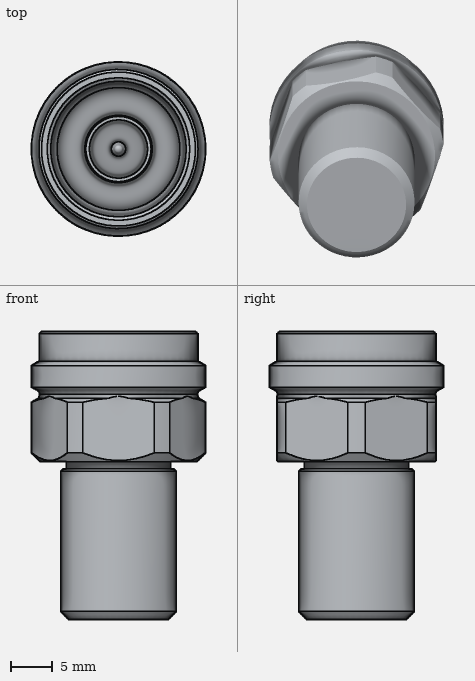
import cadquery as cq
import math

total_height = 34.4
sleeve_top = 18.0
nut_bottom = 18.85
nut_top_corner = 25.95
nut_shoulder_height = 26.42
groove_bottom = 26.85
groove_top = 27.38
collar_bottom = 27.73
collar_top = 30.3
collar_shoulder = 30.85
socket_floor = 28.7
seat_height = 29.48
inner_tube_top = 33.2
pin_shoulder = 30.27
pin_dome_base = 32.55
pin_top = 32.9

collar_diameter = 20.8
collar_radius = collar_diameter / 2
hex_apothem = 9.5
rim_radius = 9.5
rim_chamfer_radius = 9.2
nut_bottom_radius = 9.35
nut_shoulder_radius = 9.55
groove_radius = 9.43
groove_middle_radius = 9.5
groove_top_radius = 9.75
neck_radius = 6.25
sleeve_radius = 6.9
mouth_radius = 8.5
bore_radius = 8.1
seat_radius = 7.33
tube_radius = 4.02
tube_bore_radius = 3.47
pin_radius = 0.85
pin_tip_radius = 0.45

sleeve_bottom_chamfer = 1.0
sleeve_top_chamfer = 0.3
rim_chamfer = rim_radius - rim_chamfer_radius
tube_chamfer = 0.15
nut_bottom_chamfer = collar_radius - nut_bottom_radius


def revolve_profile(profile):
    """Revolve a closed profile, drawn as (radius, height), about the Z axis."""
    return profile.close().revolve(360, (0, 0, 0), (0, 1, 0))


def make_turned_body():
    """Solid of revolution: sleeve, neck, nut band, groove, collar and rim."""
    return revolve_profile(
        cq.Workplane("XZ")
        .moveTo(0, 0)
        .lineTo(sleeve_radius - sleeve_bottom_chamfer, 0)
        .lineTo(sleeve_radius, sleeve_bottom_chamfer)
        .lineTo(sleeve_radius, sleeve_top - sleeve_top_chamfer)
        .lineTo(sleeve_radius - sleeve_top_chamfer, sleeve_top)
        .lineTo(neck_radius, sleeve_top)
        .lineTo(neck_radius, nut_bottom)
        .lineTo(nut_bottom_radius, nut_bottom)
        .lineTo(collar_radius, nut_bottom + nut_bottom_chamfer)
        .lineTo(collar_radius, nut_top_corner)
        .lineTo(nut_shoulder_radius, nut_shoulder_height)
        .lineTo(groove_radius, groove_bottom)
        .threePointArc(
            (groove_middle_radius, (groove_bottom + groove_top) / 2),
            (groove_top_radius, groove_top),
        )
        .lineTo(collar_radius, collar_bottom)
        .lineTo(collar_radius, collar_top)
        .lineTo(rim_radius, collar_shoulder)
        .lineTo(rim_radius, total_height - rim_chamfer)
        .lineTo(rim_chamfer_radius, total_height)
        .lineTo(0, total_height)
    )


def cut_hex_flats(body):
    """Trim the nut band to a hexagon with corners on X and two flats facing along Y."""
    band_height = groove_bottom - nut_bottom
    hexagon = (
        cq.Workplane("XY", origin=(0, 0, nut_bottom))
        .polygon(6, 2 * hex_apothem / math.cos(math.pi / 6))
        .extrude(band_height)
    )
    band = (
        cq.Workplane("XY", origin=(0, 0, nut_bottom))
        .circle(2 * collar_radius)
        .extrude(band_height)
    )
    return body.cut(band.cut(hexagon))


def make_socket():
    """Stepped cavity open at the top of the coupling nut."""
    return revolve_profile(
        cq.Workplane("XZ")
        .moveTo(0, socket_floor)
        .lineTo(seat_radius, socket_floor)
        .lineTo(seat_radius, seat_height)
        .lineTo(bore_radius, seat_height + bore_radius - seat_radius)
        .lineTo(bore_radius, total_height - (mouth_radius - bore_radius))
        .lineTo(mouth_radius, total_height)
        .lineTo(0, total_height)
    )


def make_inner_tube():
    """Contact tube standing on the socket floor, chamfered at its outer top edge."""
    return (
        cq.Workplane("XY", origin=(0, 0, socket_floor))
        .circle(tube_radius)
        .extrude(inner_tube_top - socket_floor)
        .faces(">Z")
        .chamfer(tube_chamfer)
        .cut(
            cq.Workplane("XY", origin=(0, 0, socket_floor))
            .circle(tube_bore_radius)
            .extrude(inner_tube_top - socket_floor)
        )
    )


def make_pin():
    """Centre contact: cylinder, tapered nose and domed tip."""
    dome_height = pin_top - pin_dome_base
    dome_radius = (pin_tip_radius**2 + dome_height**2) / (2 * dome_height)
    half_angle = math.asin(pin_tip_radius / dome_radius) / 2
    return revolve_profile(
        cq.Workplane("XZ")
        .moveTo(0, socket_floor)
        .lineTo(pin_radius, socket_floor)
        .lineTo(pin_radius, pin_shoulder)
        .lineTo(pin_tip_radius, pin_dome_base)
        .threePointArc(
            (dome_radius * math.sin(half_angle), pin_top - dome_radius * (1 - math.cos(half_angle))),
            (0, pin_top),
        )
    )


shell = cut_hex_flats(make_turned_body()).cut(make_socket())
result = shell.union(make_inner_tube()).union(make_pin())